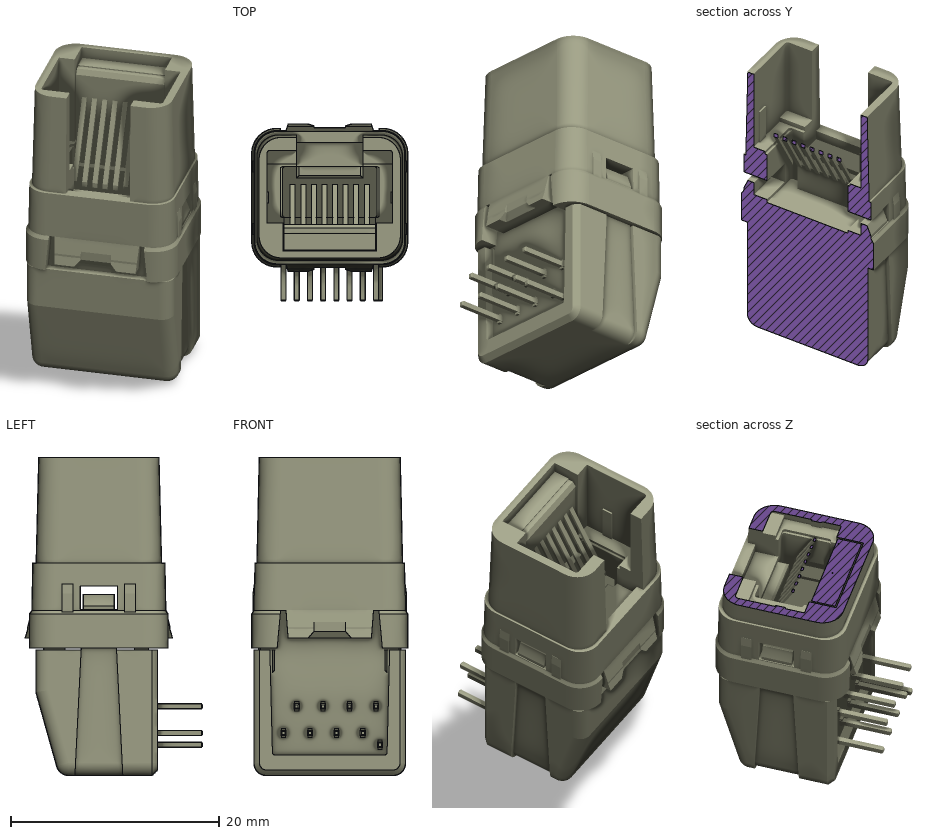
import cadquery as cq


BODY_TOP = 12.08
COLLAR_BOTTOM = 12.25
COLLAR_TOP = 15.5
BAND_BOTTOM = 15.86
BAND_TOP = 20.4
TOTAL_HEIGHT = 30.54

COLLAR_SECTION = (15.0, 13.32, 2.42)
BAND_BOTTOM_SECTION = (14.56, 12.88, 2.2)
BAND_TOP_SECTION = (14.36, 12.7, 2.1)
SHELL_BOTTOM_SECTION = (14.0, 12.06, 2.1)
SHELL_TOP_SECTION = (13.56, 11.56, 2.1)

BODY_WIDTH = 14.56
BODY_FRONT = -5.64
BODY_BACK = 6.05
BODY_SLANT_TOP = 8.0
BODY_BOTTOM_BACK = 3.8
BODY_FILLET = 1.2
FRONT_CHAMFER = 0.54

CORE_WIDTH = 13.3
CORE_FRONT = -4.78
CORE_BACK = 5.3
CORE_GAPS = ((-3.4, -1.7), (1.7, 3.25))

PANEL_BOTTOM = 1.98
PANEL_BOTTOM_HALF = 5.5
PANEL_TOP_HALF = 5.75
PANEL_CORNER = 0.25
SLOT_BOTTOM = 10.1
SLOT_INNER_X = 5.3
SLOT_OUTER_X = 5.5
SLOT_DEPTH = 2.0

GROOVE_TOP_HALF = 1.7
GROOVE_BOTTOM_HALF = 2.3
GROOVE_DEPTH = 0.44

OPENING_TOP_HALF = 4.72
OPENING_BOTTOM_HALF = 5.05
LATCH_BOTTOM = 13.2
LATCH_REACH = 7.08
LATCH_TOP_HALF = 4.2
LATCH_BOTTOM_HALF = 4.0
LATCH_CREASE_Y = 6.83
LATCH_CREASE_TOP = 14.26
LATCH_CREASE_BOTTOM = 14.05
NOTCH_HALF = 1.5
NOTCH_WIDE_HALF = 2.08
NOTCH_BEVEL_TOP = 13.85
NOTCH_FACE_Y = 6.72
NOTCH_BEVEL_DEPTH = 0.5

WINDOW_BOTTOM = 15.95
WINDOW_TOP = 18.2
WINDOW_HALF = 1.77
SNAP_HALF = 1.5
SNAP_TOP = 17.4
SNAP_LIP = 16.3
SNAP_INNER_X = 6.0
SNAP_TOP_X = 6.75
SNAP_OUTER_X = 7.2
PAD_CENTER_Y = 3.0
PAD_WIDTH = 1.05
PAD_TOP = 18.4
PAD_RAMP_BOTTOM = 17.45
PAD_INNER_X = 7.0
PAD_TOP_X = 7.235
PAD_OUTER_X = 7.38

CAVITY_HALF = 6.03
CAVITY_BACK = 4.55
CAVITY_FRONT = -2.42
CAVITY_CORNER = 0.3
LEDGE_Y = 3.25
LEDGE_TOP = 22.2
INSERT_TOP = 21.7
PLUG_HALF = 4.53
PLUG_ENTRY_HALF = 4.75
PLUG_ENTRY_DEPTH = 0.3
PLUG_BACK = 2.98
PLUG_FRONT = -1.9
PLUG_CORNER = 0.25
PLUG_FLOOR = 15.6
KEYWAY_HALF = 3.17
KEYWAY_STEP_Y = 5.28
KEYWAY_FLOOR = 19.4
STOP_FRONT = 1.9
STOP_TOP = 18.9
STOP_CHAMFER = 0.22
RIB_WIDTH = 1.05
RIB_DEPTH = 0.15
RIB_TOP = 25.4

BENCH_HALF = 4.48
BENCH_GAP = 0.1
BENCH_FRONT = -5.12
BENCH_TOP = 29.45
BENCH_STEP = 0.12
BENCH_STEP_Y = -3.44
BENCH_EDGE_Y = -2.93
BENCH_BACK = -2.6
BENCH_EDGE_DROP = 0.5
CONTACT_COUNT = 8
CONTACT_PITCH = 1.016
CONTACT_WIDTH = 0.48
CONTACT_TIP_Y = 1.27
CONTACT_TIP_Z = 19.4
CONTACT_ROOT_Z = 26.5
CONTACT_HEIGHT = 0.5

PIN_SIZE = 0.5
PIN_TIP_Y = -9.94
PIN_TIP_CHAMFER = 0.1
PIN_PITCH = 2.54
PINS_PER_ROW = 4
UPPER_ROW = (-3.175, 6.65)
LOWER_ROW = (-4.445, 4.09)
GROUND_PIN = (4.83, 2.96)
PIN_ROOT_WIDTH = 0.4
PIN_ROOT_HEIGHT = 0.9
PIN_ROOT_LENGTH = 0.3

OVERRUN = 1.0


def block(x0, x1, y0, y1, z0, z1):
    """Box between two opposite corners."""
    return cq.Workplane("XY").box(x1 - x0, y1 - y0, z1 - z0, centered=False).translate((x0, y0, z0))


def prism_x(points, x0, x1):
    """(y, z) polygon extruded from x0 to x1."""
    return cq.Workplane("YZ", origin=(x0, 0, 0)).polyline(points).close().extrude(x1 - x0)


def prism_y(points, y0, y1):
    """(x, z) polygon extruded from y0 to y1."""
    return cq.Workplane("XZ", origin=(0, y0, 0)).polyline(points).close().extrude(y0 - y1)


def trapezoid(bottom_half, bottom, top_half, top):
    """Corners of a symmetric trapezoid."""
    return [(-bottom_half, bottom), (bottom_half, bottom), (top_half, top), (-top_half, top)]


def mirrored_pair(solid, plane):
    """The solid together with its mirror image."""
    return solid.union(solid.mirror(plane))


def section_loft(bottom_section, z0, top_section, z1):
    """Tapered rounded-rectangle column between two sections."""
    width, depth, radius = bottom_section
    lower = cq.Sketch().rect(width, depth).vertices().fillet(radius)
    width, depth, radius = top_section
    upper = cq.Sketch().rect(width, depth).vertices().fillet(radius)
    upper = upper.moved(cq.Location(cq.Vector(0, 0, z1 - z0)))
    return cq.Workplane("XY").workplane(offset=z0).placeSketch(lower, upper).loft(ruled=True)


def body_block(width):
    """Body of the given width with a slanted back and rounded side, back and bottom edges."""
    half = width / 2
    profile = [
        (BODY_FRONT, 0),
        (BODY_BOTTOM_BACK, 0),
        (BODY_BACK, BODY_SLANT_TOP),
        (BODY_BACK, BODY_TOP),
        (BODY_FRONT, BODY_TOP),
    ]
    body = prism_x(profile, -half, half)
    behind_front_below_top = cq.selectors.BoxSelector(
        (-half - OVERRUN, BODY_FRONT + OVERRUN, -OVERRUN),
        (half + OVERRUN, BODY_BACK + OVERRUN, BODY_TOP - OVERRUN),
    )
    side_edges = body.edges("<X or >X").edges(behind_front_below_top)
    bottom_back_edge = body.faces("<Z").edges(">Y")
    return side_edges.add(bottom_back_edge).fillet(BODY_FILLET)


def lower_body():
    body = body_block(BODY_WIDTH)
    front_edges = body.faces("<Y").edges("not(>Z)")
    body = front_edges.chamfer(FRONT_CHAMFER)

    groove_outline = trapezoid(GROOVE_BOTTOM_HALF, 0, GROOVE_TOP_HALF, BODY_TOP)
    grooves = prism_x(groove_outline, -BODY_WIDTH / 2, BODY_WIDTH / 2)
    grooves = grooves.cut(body_block(BODY_WIDTH - 2 * GROOVE_DEPTH))
    body = body.cut(grooves)

    panel_outline = trapezoid(PANEL_BOTTOM_HALF, PANEL_BOTTOM, PANEL_TOP_HALF, BODY_TOP)
    pocket = prism_y(panel_outline, BODY_FRONT - OVERRUN, CORE_FRONT)
    pocket = pocket.edges("|Y and <Z").fillet(PANEL_CORNER)
    slot = prism_y(
        [
            (SLOT_INNER_X, BODY_TOP),
            (SLOT_INNER_X, SLOT_BOTTOM),
            (SLOT_OUTER_X, SLOT_BOTTOM - (SLOT_OUTER_X - SLOT_INNER_X)),
            (SLOT_OUTER_X, BODY_TOP),
        ],
        CORE_FRONT,
        CORE_FRONT + SLOT_DEPTH,
    )
    return body.cut(pocket).cut(mirrored_pair(slot, "YZ"))


def core():
    half = CORE_WIDTH / 2
    solid = block(-half, half, CORE_FRONT, CORE_BACK, BODY_TOP, BAND_BOTTOM)
    for y0, y1 in CORE_GAPS:
        solid = solid.cut(block(-half, half, y0, y1, BODY_TOP, COLLAR_BOTTOM))
    tongue_half = BODY_WIDTH / 2 - GROOVE_DEPTH
    tongue = block(
        -tongue_half, tongue_half, -GROOVE_TOP_HALF, GROOVE_TOP_HALF, BODY_TOP, COLLAR_BOTTOM
    )
    return solid.union(tongue)


def collar():
    solid = section_loft(COLLAR_SECTION, COLLAR_BOTTOM, COLLAR_SECTION, COLLAR_TOP)
    solid = solid.union(section_loft(COLLAR_SECTION, COLLAR_TOP, BAND_BOTTOM_SECTION, BAND_BOTTOM))
    opening = trapezoid(OPENING_BOTTOM_HALF, COLLAR_BOTTOM, OPENING_TOP_HALF, BAND_BOTTOM)
    reach = COLLAR_SECTION[1] / 2 + OVERRUN
    solid = solid.cut(prism_y(opening, -reach, CORE_FRONT))
    return solid.cut(prism_y(opening, CORE_BACK, reach))


def shell():
    band = section_loft(BAND_BOTTOM_SECTION, BAND_BOTTOM, BAND_TOP_SECTION, BAND_TOP)
    return band.union(section_loft(SHELL_BOTTOM_SECTION, BAND_TOP, SHELL_TOP_SECTION, TOTAL_HEIGHT))


def front_latch():
    profile = [
        (CORE_FRONT, LATCH_BOTTOM),
        (CORE_FRONT, BAND_BOTTOM),
        (-BAND_BOTTOM_SECTION[1] / 2, BAND_BOTTOM),
        (-LATCH_CREASE_Y, LATCH_CREASE_TOP),
        (-LATCH_CREASE_Y, LATCH_CREASE_BOTTOM),
        (-LATCH_REACH, LATCH_BOTTOM),
    ]
    outline = trapezoid(LATCH_BOTTOM_HALF, LATCH_BOTTOM, LATCH_TOP_HALF, BAND_BOTTOM)
    latch = prism_x(profile, -LATCH_TOP_HALF, LATCH_TOP_HALF)
    latch = latch.intersect(prism_y(outline, -LATCH_REACH, CORE_FRONT))

    notch = block(
        -NOTCH_HALF, NOTCH_HALF, -LATCH_REACH, -NOTCH_FACE_Y, LATCH_BOTTOM, BAND_BOTTOM
    )
    bevel_profile = [
        (-LATCH_REACH, NOTCH_BEVEL_TOP),
        (-NOTCH_FACE_Y, NOTCH_BEVEL_TOP),
        (-NOTCH_FACE_Y + NOTCH_BEVEL_DEPTH, LATCH_BOTTOM),
        (-LATCH_REACH, LATCH_BOTTOM),
    ]
    bevel_outline = trapezoid(NOTCH_WIDE_HALF, LATCH_BOTTOM, NOTCH_HALF, NOTCH_BEVEL_TOP)
    bevel = prism_x(bevel_profile, -NOTCH_WIDE_HALF, NOTCH_WIDE_HALF)
    bevel = bevel.intersect(prism_y(bevel_outline, -LATCH_REACH, CORE_FRONT))
    return latch.cut(notch).cut(bevel)


def plug_cavity():
    above = TOTAL_HEIGHT + OVERRUN
    behind = BAND_BOTTOM_SECTION[1] / 2 + OVERRUN
    mouth = block(-CAVITY_HALF, CAVITY_HALF, CAVITY_FRONT, CAVITY_BACK, LEDGE_TOP, above)
    mouth = mouth.edges("|Z and >Y").fillet(CAVITY_CORNER)
    insert_face = block(-CAVITY_HALF, CAVITY_HALF, CAVITY_FRONT, LEDGE_Y, INSERT_TOP, above)
    plug = block(-PLUG_HALF, PLUG_HALF, PLUG_FRONT, PLUG_BACK, PLUG_FLOOR, above)
    plug = plug.edges("|Z").fillet(PLUG_CORNER)
    entry_floor = INSERT_TOP - PLUG_ENTRY_DEPTH
    entry = block(-PLUG_ENTRY_HALF, PLUG_ENTRY_HALF, PLUG_FRONT, PLUG_BACK, entry_floor, above)
    entry = entry.edges("|Z").fillet(PLUG_CORNER)
    well_half = BENCH_HALF - BENCH_GAP
    contact_well = block(-well_half, well_half, BENCH_BACK, PLUG_FRONT, CONTACT_TIP_Z, above)
    bench_well = block(-BENCH_HALF, BENCH_HALF, BENCH_FRONT, CAVITY_FRONT, INSERT_TOP, above)
    keyway = block(-KEYWAY_HALF, KEYWAY_HALF, PLUG_BACK, KEYWAY_STEP_Y, KEYWAY_FLOOR, above)
    back_gap = block(-KEYWAY_HALF, KEYWAY_HALF, KEYWAY_STEP_Y, behind, BAND_TOP, above)
    cavity = mouth
    for pocket in (insert_face, plug, entry, contact_well, bench_well, keyway, back_gap):
        cavity = cavity.union(pocket)
    return cavity


def latch_stop():
    stop = block(-KEYWAY_HALF, KEYWAY_HALF, STOP_FRONT, PLUG_BACK, PLUG_FLOOR, STOP_TOP)
    return stop.faces(">Z").edges("<X or >X or <Y").chamfer(STOP_CHAMFER)


def cavity_ribs():
    half = RIB_WIDTH / 2
    rib = block(-CAVITY_HALF, RIB_DEPTH - CAVITY_HALF, -half, half, INSERT_TOP, RIB_TOP)
    return mirrored_pair(rib, "YZ")


def contact_bench():
    step_z = BENCH_TOP - BENCH_STEP
    profile = [
        (BENCH_FRONT + BENCH_GAP, INSERT_TOP),
        (BENCH_FRONT + BENCH_GAP, BENCH_TOP),
        (BENCH_STEP_Y, BENCH_TOP),
        (BENCH_STEP_Y, step_z),
        (BENCH_EDGE_Y, step_z),
        (BENCH_BACK, step_z - BENCH_EDGE_DROP),
        (BENCH_BACK, INSERT_TOP),
    ]
    return prism_x(profile, -BENCH_HALF + BENCH_GAP, BENCH_HALF - BENCH_GAP)


def contacts():
    profile = [
        (BENCH_BACK, CONTACT_ROOT_Z),
        (CONTACT_TIP_Y, CONTACT_TIP_Z),
        (CONTACT_TIP_Y, CONTACT_TIP_Z - CONTACT_HEIGHT),
        (BENCH_BACK, CONTACT_ROOT_Z - CONTACT_HEIGHT),
    ]
    row = cq.Workplane("XY")
    for index in range(CONTACT_COUNT):
        x = (index - (CONTACT_COUNT - 1) / 2) * CONTACT_PITCH
        row = row.union(prism_x(profile, x - CONTACT_WIDTH / 2, x + CONTACT_WIDTH / 2))
    return row


def side_windows():
    reach = BODY_WIDTH / 2 + OVERRUN
    return block(-reach, reach, -WINDOW_HALF, WINDOW_HALF, WINDOW_BOTTOM, WINDOW_TOP)


def side_snaps():
    profile = [
        (-SNAP_INNER_X, PLUG_FLOOR),
        (-SNAP_INNER_X, SNAP_TOP),
        (-SNAP_TOP_X, SNAP_TOP),
        (-SNAP_OUTER_X, SNAP_LIP),
        (-SNAP_OUTER_X, PLUG_FLOOR),
    ]
    return mirrored_pair(prism_y(profile, -SNAP_HALF, SNAP_HALF), "YZ")


def side_pads():
    profile = [
        (-PAD_INNER_X, COLLAR_TOP),
        (-PAD_INNER_X, PAD_TOP),
        (-PAD_TOP_X, PAD_TOP),
        (-PAD_OUTER_X, PAD_RAMP_BOTTOM),
        (-PAD_OUTER_X, COLLAR_TOP),
    ]
    pad = prism_y(profile, PAD_CENTER_Y - PAD_WIDTH / 2, PAD_CENTER_Y + PAD_WIDTH / 2)
    return mirrored_pair(mirrored_pair(pad, "XZ"), "YZ")


def solder_pin(x, z):
    half = PIN_SIZE / 2
    pin = block(x - half, x + half, PIN_TIP_Y, CORE_FRONT, z - half, z + half)
    pin = pin.faces("<Y").chamfer(PIN_TIP_CHAMFER)
    root = block(
        x - PIN_ROOT_WIDTH / 2,
        x + PIN_ROOT_WIDTH / 2,
        CORE_FRONT - PIN_ROOT_LENGTH,
        CORE_FRONT,
        z - PIN_ROOT_HEIGHT / 2,
        z + PIN_ROOT_HEIGHT / 2,
    )
    return pin.union(root)


def solder_pins():
    pins = solder_pin(*GROUND_PIN)
    for first_x, z in (UPPER_ROW, LOWER_ROW):
        for index in range(PINS_PER_ROW):
            pins = pins.union(solder_pin(first_x + index * PIN_PITCH, z))
    return pins


result = lower_body().union(core()).union(collar()).union(shell())
result = result.cut(plug_cavity()).cut(side_windows())
for feature in (
    mirrored_pair(front_latch(), "XZ"),
    latch_stop(),
    cavity_ribs(),
    contact_bench(),
    contacts(),
    side_snaps(),
    side_pads(),
    solder_pins(),
):
    result = result.union(feature)